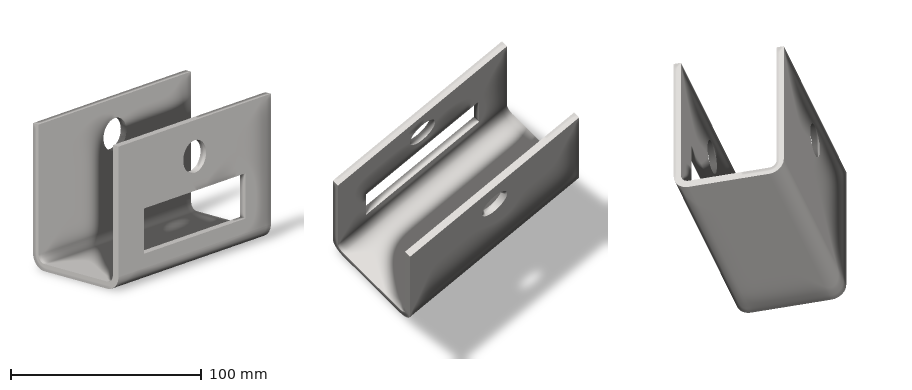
import cadquery as cq

width = 60.0
length = 120.0
height = 80.0

thickness = 4.0
outer_bend_radius = 8.0
inner_bend_radius = outer_bend_radius - thickness

hole_diameter = 18.0
hole_drop = 20.0

window_length = 80.0
window_drop = 39.0
window_height = 25.0


def make_channel():
    """Bent sheet with its bottom on Z = 0, centred in X and Y."""
    outside = (
        cq.Workplane("XY")
        .box(width, length, height, centered=(True, True, False))
        .edges("|Y and <Z")
        .fillet(outer_bend_radius)
    )
    inside = (
        cq.Workplane("XY")
        .workplane(offset=thickness)
        .box(width - 2 * thickness, length, height, centered=(True, True, False))
        .edges("|Y and <Z")
        .fillet(inner_bend_radius)
    )
    return outside.cut(inside)


def make_hole_cutter():
    return (
        cq.Workplane("YZ")
        .center(0, height - hole_drop)
        .circle(hole_diameter / 2)
        .extrude(width / 2, both=True)
    )


def make_window_cutter():
    window_center_z = height - window_drop - window_height / 2
    return (
        cq.Workplane("YZ")
        .center(0, window_center_z)
        .rect(window_length, window_height)
        .extrude(width / 2)
    )


result = make_channel().cut(make_hole_cutter()).cut(make_window_cutter())